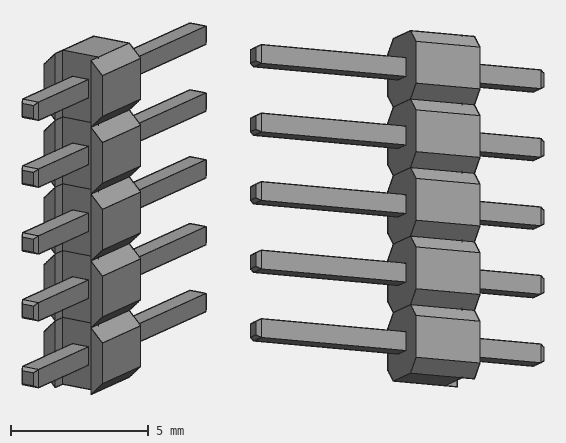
import cadquery as cq

cell_count = 5
pitch = 2.54

block_size = pitch
block_corner = 0.5
block_depth = pitch

channel_width = block_size - 2 * block_corner
channel_depth = 0.5

pin_width = 0.7
pin_length = 11.44
pin_front_reach = 3.0
pin_tip_length = 0.18
pin_tip_inset = 0.1
pin_tip_width = pin_width - 2 * pin_tip_inset
shank_length = pin_length - 2 * pin_tip_length
shank_front = -pin_front_reach + pin_tip_length


def make_block():
    """Octagonal block from Y = 0 backward with the channel cut into its front face."""
    block = (
        cq.Workplane("XY")
        .box(block_size, block_depth, block_size, centered=(True, False, True))
        .edges("|Y")
        .chamfer(block_corner)
    )
    channel = cq.Workplane("XY").box(
        channel_width, channel_depth, block_size, centered=(True, False, True)
    )
    return block.cut(channel)


def make_pin_tip():
    """Tapered pin end, wide face on the XZ plane and narrow face toward +Y."""
    return (
        cq.Workplane("XZ")
        .rect(pin_width, pin_width)
        .workplane(offset=-pin_tip_length)
        .rect(pin_tip_width, pin_tip_width)
        .loft(ruled=True)
    )


def make_pin():
    """Square pin along Y with a tapered tip at each end."""
    shank = cq.Workplane("XY").box(
        pin_width, shank_length, pin_width, centered=(True, False, True)
    )
    back_tip = make_pin_tip().translate((0, shank_length, 0))
    front_tip = make_pin_tip().mirror("XZ")
    pin = shank.union(back_tip).union(front_tip)
    return pin.translate((0, shank_front, 0))


def make_header_cell(index):
    """One cell: a block formed in one piece with its pin."""
    height = (index - (cell_count - 1) / 2) * pitch
    return make_block().union(make_pin()).translate((0, 0, height))


header_cells = [make_header_cell(index).val() for index in range(cell_count)]

result = cq.Compound.makeCompound(header_cells)